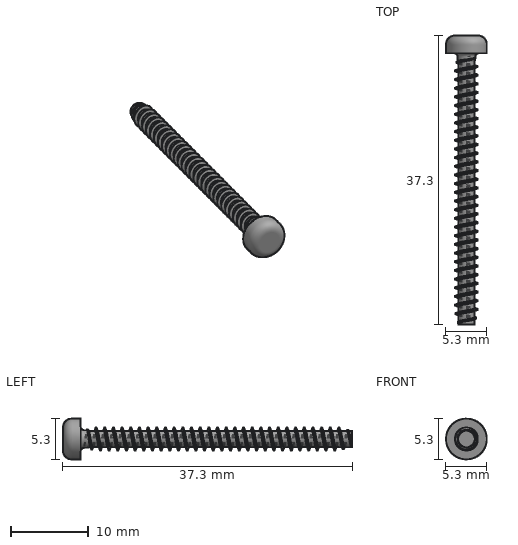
import cadquery as cq
import math

OVERALL_LENGTH = 37.3

HEAD_RADIUS = 2.65
HEAD_HEIGHT = 2.3
CROWN_RADIUS = HEAD_HEIGHT / 2

SHANK_LENGTH = OVERALL_LENGTH - HEAD_HEIGHT
SHANK_RADIUS = 1.063
NECK_RADIUS = 1.15
NECK_LENGTH = 0.75
NECK_TAPER_LENGTH = 0.37
NECK_FILLET = 0.45

PITCH = 1.12
CREST_RADIUS = 1.5
BURIED_RADIUS = SHANK_RADIUS - 0.07
CREST_WIDTH = 0.07
BASE_WIDTH = 0.4
THREAD_OFFSET = 0.85
START_TURN = -0.5
FULL_HEIGHT_FROM = 1.0
FULL_HEIGHT_TO = 29.0
END_TURN = 30.5
POINTS_PER_TURN = 16


def body():
    """Domed head, filleted neck and plain shank as one solid of revolution."""
    crown_mid = CROWN_RADIUS * math.sqrt(0.5)
    fillet_mid = NECK_FILLET * (1 - math.sqrt(0.5))
    crown_base = HEAD_HEIGHT - CROWN_RADIUS
    profile = (
        cq.Workplane("XY")
        .moveTo(0, HEAD_HEIGHT)
        .lineTo(HEAD_RADIUS - CROWN_RADIUS, HEAD_HEIGHT)
        .threePointArc(
            (HEAD_RADIUS - CROWN_RADIUS + crown_mid, crown_base + crown_mid),
            (HEAD_RADIUS, crown_base),
        )
        .lineTo(HEAD_RADIUS, 0)
        .lineTo(NECK_RADIUS + NECK_FILLET, 0)
        .threePointArc(
            (NECK_RADIUS + fillet_mid, -fillet_mid),
            (NECK_RADIUS, -NECK_FILLET),
        )
        .lineTo(NECK_RADIUS, -NECK_LENGTH)
        .lineTo(SHANK_RADIUS, -NECK_LENGTH - NECK_TAPER_LENGTH)
        .lineTo(SHANK_RADIUS, -SHANK_LENGTH)
        .lineTo(0, -SHANK_LENGTH)
        .close()
    )
    return profile.revolve(360, (0, 0, 0), (0, 1, 0))


def helix_edge(first_turn, last_turn, first_radius, last_radius, shift):
    """Helical curve whose radius changes evenly; shift moves it along the axis."""
    count = math.ceil((last_turn - first_turn) * POINTS_PER_TURN)
    points = []
    for i in range(count + 1):
        fraction = i / count
        turn = first_turn + (last_turn - first_turn) * fraction
        radius = first_radius + (last_radius - first_radius) * fraction
        angle = 2 * math.pi * turn
        along = shift - THREAD_OFFSET - PITCH * turn
        points.append(cq.Vector(-radius * math.sin(angle), along, radius * math.cos(angle)))
    return cq.Edge.makeSpline(points)


def thread_section(first_turn, last_turn, first_crest, last_crest):
    """Solid stretch of thread whose crest radius runs from first_crest to last_crest."""
    corners = [
        (BURIED_RADIUS, BURIED_RADIUS, -BASE_WIDTH / 2),
        (first_crest, last_crest, -CREST_WIDTH / 2),
        (first_crest, last_crest, CREST_WIDTH / 2),
        (BURIED_RADIUS, BURIED_RADIUS, BASE_WIDTH / 2),
    ]
    edges = [helix_edge(first_turn, last_turn, *corner) for corner in corners]
    faces = []
    for i, edge in enumerate(edges):
        faces.append(cq.Face.makeRuledSurface(edge, edges[(i + 1) % len(edges)]))
    for end in (0, 1):
        outline = cq.Wire.makePolygon([edge.positionAt(end) for edge in edges], close=True)
        faces.append(cq.Face.makeFromWires(outline))
    return cq.Solid.makeSolid(cq.Shell.makeShell(faces))


def thread():
    """Run-in, full-height and run-out stretches, trimmed flush with the shank tip."""
    sections = [
        thread_section(START_TURN, FULL_HEIGHT_FROM, NECK_RADIUS, CREST_RADIUS),
        thread_section(FULL_HEIGHT_FROM, FULL_HEIGHT_TO, CREST_RADIUS, CREST_RADIUS),
        thread_section(FULL_HEIGHT_TO, END_TURN, CREST_RADIUS, SHANK_RADIUS),
    ]
    beyond_tip = (
        cq.Workplane("XZ", origin=(0, -SHANK_LENGTH, 0))
        .circle(CREST_RADIUS * 2)
        .extrude(PITCH)
    )
    sections[-1] = sections[-1].cut(beyond_tip.val())
    return sections


result = body()
for section in thread():
    result = result.union(cq.Workplane(section))